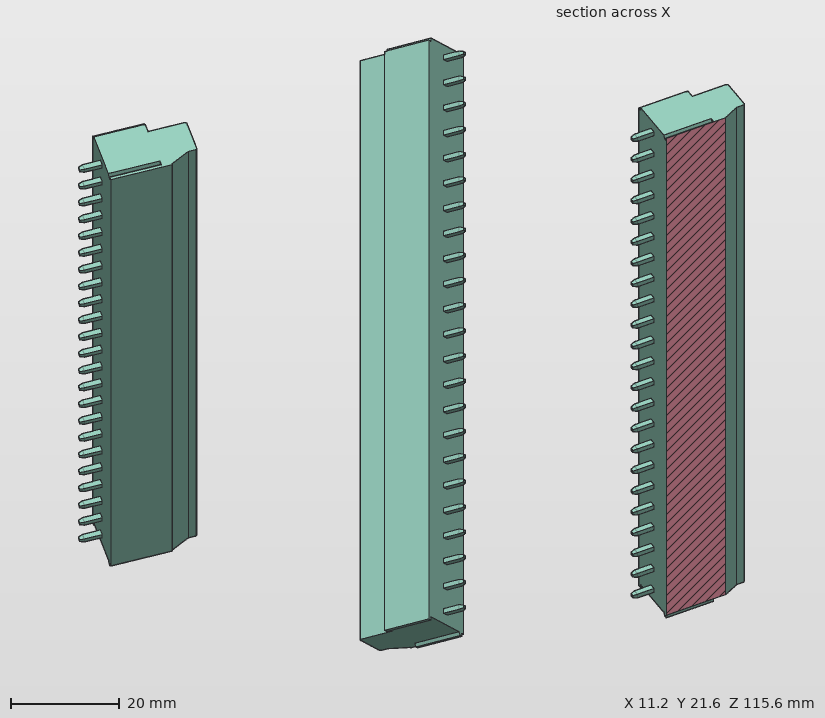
import cadquery as cq

total_length = 115.6
tongue_height = 0.64
pole_count = 23
body_bottom = tongue_height
body_length = total_length - tongue_height
pitch = body_length / pole_count

width = 11.2
depth = 21.6
pin_length = 4.3
front = pin_length
shoulder_x = 2.4
shoulder_y = 14.2
crown_right_x = 9.1
crown_bevel = 0.2
slope_top_y = 19.9
slope_bottom_x = 11.0
slope_bottom_y = 16.2

interlock_length = shoulder_y - front
side_strip_width = 0.7
rail_left_x = 9.7
rail_right_x = 10.6
rail_taper = 0.3

pin_x = 5.3
pin_width = 1.2
pin_thickness = 0.9
pin_tip_length = 0.8
pin_tip_scale = 0.6


def housing():
    outline = [
        (0, front),
        (width, front),
        (width, slope_bottom_y),
        (slope_bottom_x, slope_bottom_y),
        (crown_right_x, slope_top_y),
        (crown_right_x, depth - crown_bevel),
        (crown_right_x - crown_bevel, depth),
        (shoulder_x + crown_bevel, depth),
        (shoulder_x, depth - crown_bevel),
        (shoulder_x, shoulder_y),
        (0, shoulder_y),
    ]
    base = cq.Workplane("XY", origin=(0, 0, body_bottom))
    return base.polyline(outline).close().extrude(body_length)


def interlock(bottom_z):
    """Side strip and tapered rail: added below the housing, cut from its top."""
    top_z = bottom_z + tongue_height
    strip = cq.Workplane("XY", origin=(0, front, bottom_z)).box(
        side_strip_width, interlock_length, tongue_height, centered=False
    )
    rail_section = [
        (rail_left_x, top_z),
        (rail_left_x + rail_taper, bottom_z),
        (rail_right_x, bottom_z),
        (rail_right_x, top_z),
    ]
    rail = (
        cq.Workplane("XZ", origin=(0, shoulder_y, 0))
        .polyline(rail_section)
        .close()
        .extrude(interlock_length)
    )
    return strip.add(rail).combine()


def pin(z):
    shank = (
        cq.Workplane("XZ", origin=(pin_x, front, z))
        .rect(pin_width, pin_thickness)
        .extrude(pin_length - pin_tip_length)
    )
    tip = (
        cq.Workplane("XZ", origin=(pin_x, pin_tip_length, z))
        .rect(pin_width, pin_thickness)
        .workplane(offset=pin_tip_length)
        .rect(pin_width * pin_tip_scale, pin_thickness * pin_tip_scale)
        .loft()
    )
    return shank.union(tip)


tongues = interlock(0)
grooves = interlock(total_length - tongue_height)
result = housing().union(tongues).cut(grooves)
for pole in range(pole_count):
    pole_center_z = body_bottom + (pole + 0.5) * pitch
    result = result.union(pin(pole_center_z))